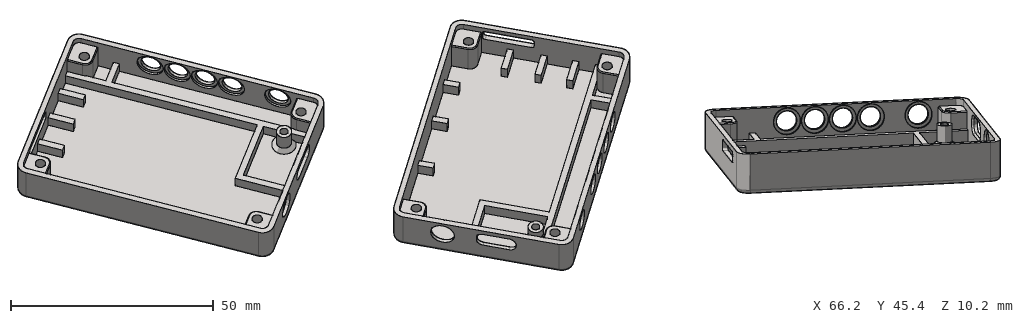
import cadquery as cq
LENGTH = 66.2
WIDTH = 45.4
HEIGHT = 10.2
WALL = 1.4
FLOOR = 1.0
CORNER_RADIUS = 3.0
BOTTOM_FILLET = 1.0

INNER_X = LENGTH / 2 - WALL
INNER_Y = WIDTH / 2 - WALL

POST_FACE_X = 25.7
POST_FACE_Y = 15.1
POST_RECESS = 1.7
POST_RADIUS = 2.0
POST_CHAMFER = 0.25
POST_TOP = HEIGHT - POST_RECESS
SCREW_X = 28.1
SCREW_Y = 17.55
SCREW_DIAMETER = 2.5

RIB_WIDTH = 1.6
RIB_TOP = 4.0
LONG_RIB_Y = 14.5
STUB_RIB_X = -21.0
BAY_RIB_X = 18.75
BAY_RIB_Y = -3.05
SIDE_RIB_LENGTH = 6.5
SIDE_RIB_YS = (8.75, 0.7, -7.8)
FRONT_RIB_LENGTH = 3.9
FRONT_RIB_XS = (-17.55, -5.3, 9.65)

STANDOFF_X = 25.4
STANDOFF_Y = 12.05
STANDOFF_TOP = 6.3
STANDOFF_DIAMETER = 3.8
STANDOFF_BORE = 2.0
STANDOFF_FOOT_DIAMETER = 6.0
STANDOFF_FOOT_HEIGHT = 1.0

BACK_HOLE_Z = 6.5
BACK_HOLE_DIAMETER = 5.1
BACK_COUNTERBORE_DIAMETER = 6.75
BACK_COUNTERBORE_DEPTH = 0.5
BACK_HOLE_PITCH = 7.0
BACK_HOLE_GAP = 12.0
LAST_BACK_HOLE_X = 20.8
PORT_CHAMFER = 0.495
ROUND_PORT_DIAMETER = 6.0
ROUND_PORT_Y = -9.7
ROUND_PORT_Z = 6.4
SLOT_PORT_LENGTH = 10.05
SLOT_PORT_HEIGHT = 4.0
SLOT_PORT_RADIUS = 1.7
SLOT_PORT_Y = 3.85
SLOT_PORT_Z = 6.95
SIDE_SLOT_LENGTH = 13.05
SIDE_SLOT_HEIGHT = 2.8
SIDE_SLOT_RADIUS = 0.65
SIDE_SLOT_Y = -8.35
SIDE_SLOT_Z = 7.5


def block(x_range, y_range, z_range):
    """Axis-aligned box between the given limits."""
    sizes = [high - low for low, high in (x_range, y_range, z_range)]
    corner = (x_range[0], y_range[0], z_range[0])
    return cq.Workplane("XY").box(*sizes, centered=False).translate(corner)


def make_shell():
    """Open tray with rounded corners and a rounded bottom edge."""
    outside = cq.Workplane("XY").box(LENGTH, WIDTH, HEIGHT, centered=(True, True, False))
    outside = outside.edges("|Z").fillet(CORNER_RADIUS)
    return outside.faces("<Z").edges().fillet(BOTTOM_FILLET).cut(make_cavity())


def make_cavity():
    """Space inside the walls, above the floor."""
    cavity = cq.Workplane("XY").box(2 * INNER_X, 2 * INNER_Y, HEIGHT, centered=(True, True, False))
    return cavity.edges("|Z").fillet(CORNER_RADIUS - WALL).translate((0, 0, FLOOR))


def make_posts():
    """Four corner posts, rounded and chamfered towards the cavity."""
    corner = block((POST_FACE_X, LENGTH / 2), (POST_FACE_Y, WIDTH / 2), (0, POST_TOP))
    corner = corner.edges("|Z and <X and <Y").fillet(POST_RADIUS)
    corner = corner.faces(">Z").chamfer(POST_CHAMFER)
    right_pair = corner.union(corner.mirror("XZ"))
    return right_pair.union(right_pair.mirror("YZ"))


def make_ribs():
    """Partition ribs and short board supports, all of the same height."""
    half = RIB_WIDTH / 2
    height = (0, RIB_TOP)

    def rib_along_x(start, end, y):
        return block((start, end), (y - half, y + half), height)

    def rib_along_y(start, end, x):
        return block((x - half, x + half), (start, end), height)

    ribs = rib_along_x(-INNER_X, INNER_X, LONG_RIB_Y)
    ribs = ribs.union(rib_along_y(LONG_RIB_Y, INNER_Y, STUB_RIB_X))
    ribs = ribs.union(rib_along_y(BAY_RIB_Y - half, LONG_RIB_Y, BAY_RIB_X))
    ribs = ribs.union(rib_along_x(BAY_RIB_X, INNER_X, BAY_RIB_Y))
    for y in SIDE_RIB_YS:
        ribs = ribs.union(rib_along_x(-INNER_X, SIDE_RIB_LENGTH - INNER_X, y))
    for x in FRONT_RIB_XS:
        ribs = ribs.union(rib_along_y(-INNER_Y, FRONT_RIB_LENGTH - INNER_Y, x))
    return ribs


def make_standoff():
    """Round standoff with a conical foot."""
    foot_radius = STANDOFF_FOOT_DIAMETER / 2
    radius = STANDOFF_DIAMETER / 2
    profile = [
        (0, 0),
        (foot_radius, 0),
        (foot_radius, FLOOR),
        (radius, FLOOR + STANDOFF_FOOT_HEIGHT),
        (radius, STANDOFF_TOP),
        (0, STANDOFF_TOP),
    ]
    standoff = cq.Workplane("XZ").polyline(profile).close().revolve(360, (0, 0), (0, 1))
    return standoff.translate((STANDOFF_X, STANDOFF_Y, 0))


def round_outline(grow):
    """Outline of the round port, enlarged by grow on every side."""
    return cq.Workplane("YZ").circle(ROUND_PORT_DIAMETER / 2 + grow)


def slot_outline(grow):
    """Outline of the slot port, enlarged by grow on every side."""
    sketch = cq.Sketch().rect(SLOT_PORT_LENGTH + 2 * grow, SLOT_PORT_HEIGHT + 2 * grow)
    sketch = sketch.vertices().fillet(SLOT_PORT_RADIUS + grow)
    return cq.Workplane("YZ").placeSketch(sketch)


def cut_back_holes(body):
    """Four evenly spaced holes and one set apart in the +Y wall, counterbored from inside."""
    first_x = LAST_BACK_HOLE_X - BACK_HOLE_GAP
    hole_xs = [LAST_BACK_HOLE_X] + [first_x - i * BACK_HOLE_PITCH for i in range(4)]
    cutter = cq.Workplane("XY").circle(BACK_HOLE_DIAMETER / 2).extrude(2 * WALL)
    cutter = cutter.union(
        cq.Workplane("XY").circle(BACK_COUNTERBORE_DIAMETER / 2).extrude(BACK_COUNTERBORE_DEPTH)
    )
    cutter = cutter.rotate((0, 0, 0), (1, 0, 0), -90)
    for x in hole_xs:
        body = body.cut(cutter.translate((x, INNER_Y, BACK_HOLE_Z)))
    return body


def cut_end_ports(body):
    """Slot and round port in the +X wall, chamfered on the inside."""
    ports = (
        (slot_outline, SLOT_PORT_Y, SLOT_PORT_Z),
        (round_outline, ROUND_PORT_Y, ROUND_PORT_Z),
    )
    for outline, y, z in ports:
        through = outline(0).extrude(2 * WALL)
        mouth = outline(PORT_CHAMFER).extrude(PORT_CHAMFER, taper=45)
        body = body.cut(through.union(mouth).translate((INNER_X, y, z)))
    return body


def cut_side_slot(body):
    """Rectangular slot with rounded corners in the -X wall."""
    slot = cq.Workplane("XY").box(2 * WALL, SIDE_SLOT_LENGTH, SIDE_SLOT_HEIGHT)
    slot = slot.edges("|X").fillet(SIDE_SLOT_RADIUS)
    return body.cut(slot.translate((-LENGTH / 2, SIDE_SLOT_Y, SIDE_SLOT_Z)))


def cut_screw_holes(body):
    """Blind screw holes down to floor level and the through bore of the standoff."""
    screw = cq.Workplane("XY").circle(SCREW_DIAMETER / 2).extrude(HEIGHT)
    for x in (-SCREW_X, SCREW_X):
        for y in (-SCREW_Y, SCREW_Y):
            body = body.cut(screw.translate((x, y, FLOOR)))
    bore = cq.Workplane("XY").circle(STANDOFF_BORE / 2).extrude(HEIGHT)
    return body.cut(bore.translate((STANDOFF_X, STANDOFF_Y, 0)))


fittings = make_posts().union(make_ribs()).union(make_standoff())
result = make_shell().union(fittings.intersect(make_cavity()))
result = cut_back_holes(result)
result = cut_end_ports(result)
result = cut_side_slot(result)
result = cut_screw_holes(result)